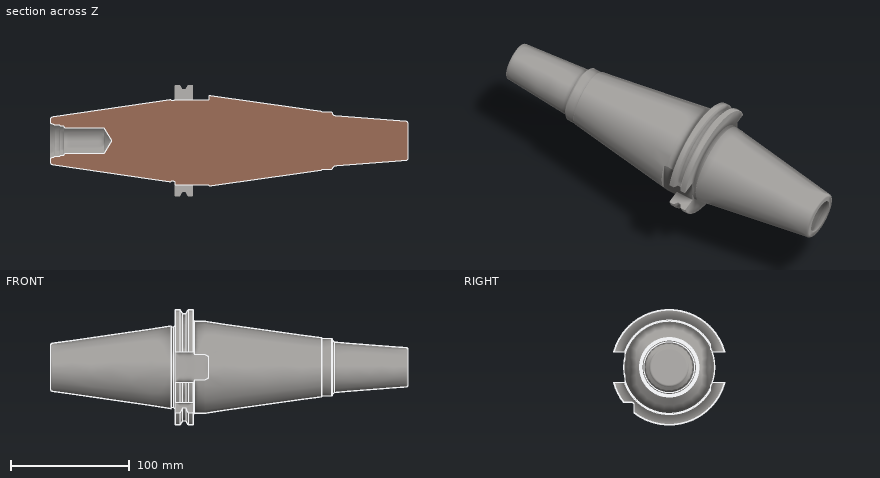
import cadquery as cq
import math

LENGTH = 301.5

GAUGE_X = 101.5
GAUGE_R = 35.0
TAPER_SLOPE = 7 / 48
TAPER_END_ROUND = 2.0
RELIEF_START_X = 102.2
RELIEF_END_X = 103.8
RELIEF_DEPTH = 1.0

FLANGE_START_X = 105.0
FLANGE_END_X = 120.5
FLANGE_R = 97.5 / 2
FLANGE_CHAMFER = 0.45
GROOVE_CENTER_X = 112.8
GROOVE_ROOT_WIDTH = 2.7
GROOVE_DEPTH = 3.3
GROOVE_HALF_ANGLE = 30
GROOVE_EDGE_CHAMFER = 0.5

BODY_R = 39.0
BODY_ROOT_CHAMFER = 1.0
BODY_CONE_X = 130.3
BODY_CONE_END_X = 228.5
BODY_CONE_END_R = 25.0
COLLAR_R = 24.5
COLLAR_START_X = 229.2
COLLAR_END_X = 238.0
COLLAR_CHAMFER = 1.0
NOSE_ROOT_CHAMFER = 1.5
NOSE_START_R = 21.5
NOSE_END_R = 16.5
NOSE_ROUND = 1.8

SLOT_WIDTH = 25.5
SLOT_END_X = 133.3
SLOT_FRONT_OFFSET = 37.5
SLOT_BACK_OFFSET = 34.7

NOTCH_Y = 30.0
NOTCH_Z = 29.5
NOTCH_ROUND = 1.8

BORE_MOUTH_R = 14.5
COUNTERSINK_R = 13.5
COUNTERSINK_DEPTH = 3.0
ENTRY_R = 13.0
ENTRY_END_X = 7.8
PILOT_R = 12.5
PILOT_END_X = 11.2
THREAD_R = 10.5
BORE_STEP = 0.5
BORE_END_X = 45.2
DRILL_POINT_HALF_ANGLE = 59


def groove_points():
    """V-groove outline from the small-X edge to the large-X edge, with chamfered mouth edges."""
    root_half = GROOVE_ROOT_WIDTH / 2
    flank_run = math.tan(math.radians(GROOVE_HALF_ANGLE))
    flank_top_half = root_half + (GROOVE_DEPTH - GROOVE_EDGE_CHAMFER) * flank_run
    half_outline = [
        (flank_top_half + GROOVE_EDGE_CHAMFER, FLANGE_R),
        (flank_top_half, FLANGE_R - GROOVE_EDGE_CHAMFER),
        (root_half, FLANGE_R - GROOVE_DEPTH),
    ]
    left = [(GROOVE_CENTER_X - dx, r) for dx, r in half_outline]
    right = [(GROOVE_CENTER_X + dx, r) for dx, r in reversed(half_outline)]
    return left + right


def revolve_profile(points):
    """Turn a closed (X, radius) outline about the X axis."""
    return cq.Workplane("XY").polyline(points).close().revolve(360, (0, 0, 0), (1, 0, 0))


def turned_body():
    taper_small_r = GAUGE_R - GAUGE_X * TAPER_SLOPE
    relief_r = GAUGE_R - RELIEF_DEPTH
    flange_edge_r = FLANGE_R - FLANGE_CHAMFER
    points = [
        (0, 0),
        (0, taper_small_r),
        (GAUGE_X, GAUGE_R),
        (RELIEF_START_X, relief_r),
        (RELIEF_END_X, relief_r),
        (FLANGE_START_X, GAUGE_R),
        (FLANGE_START_X, flange_edge_r),
        (FLANGE_START_X + FLANGE_CHAMFER, FLANGE_R),
        *groove_points(),
        (FLANGE_END_X - FLANGE_CHAMFER, FLANGE_R),
        (FLANGE_END_X, flange_edge_r),
        (FLANGE_END_X, BODY_R + BODY_ROOT_CHAMFER),
        (FLANGE_END_X + BODY_ROOT_CHAMFER, BODY_R),
        (BODY_CONE_X, BODY_R),
        (BODY_CONE_END_X, BODY_CONE_END_R),
        (COLLAR_START_X, COLLAR_R),
        (COLLAR_END_X - COLLAR_CHAMFER, COLLAR_R),
        (COLLAR_END_X, COLLAR_R - COLLAR_CHAMFER),
        (COLLAR_END_X, NOSE_START_R + NOSE_ROOT_CHAMFER),
        (COLLAR_END_X + NOSE_ROOT_CHAMFER, NOSE_START_R),
        (LENGTH, NOSE_END_R),
        (LENGTH, 0),
    ]
    body = revolve_profile(points)
    body = body.faces("<X").edges().fillet(TAPER_END_ROUND)
    return body.faces(">X").edges().fillet(NOSE_ROUND)


def pull_stud_bore():
    drill_point = THREAD_R / math.tan(math.radians(DRILL_POINT_HALF_ANGLE))
    return revolve_profile([
        (0, 0),
        (0, BORE_MOUTH_R),
        (COUNTERSINK_DEPTH, COUNTERSINK_R),
        (COUNTERSINK_DEPTH + BORE_STEP, ENTRY_R),
        (ENTRY_END_X, ENTRY_R),
        (ENTRY_END_X + BORE_STEP, PILOT_R),
        (PILOT_END_X, PILOT_R),
        (PILOT_END_X + BORE_STEP, THREAD_R),
        (BORE_END_X, THREAD_R),
        (BORE_END_X + drill_point, 0),
    ])


def drive_slot(side, floor_offset):
    """Flange slot running into a flat across the body, on the side = -1 or +1 of Y."""

    def block_above_floor(start_x, end_x, width):
        center_y = side * (floor_offset + FLANGE_R / 2)
        block = cq.Workplane("XY").box(end_x - start_x, FLANGE_R, width)
        return block.translate(((start_x + end_x) / 2, center_y, 0))

    flange_slot = block_above_floor(FLANGE_START_X, SLOT_END_X, SLOT_WIDTH)
    body_flat = block_above_floor(FLANGE_END_X, SLOT_END_X, 2 * BODY_R)
    return flange_slot.union(body_flat)


def orientation_notch():
    """Corner cutter with a rounded inner corner, running through the flange."""
    width = FLANGE_END_X - FLANGE_START_X
    notch = cq.Workplane("XY").box(width, FLANGE_R, FLANGE_R).edges(">Y and >Z").fillet(NOTCH_ROUND)
    center_x = FLANGE_START_X + width / 2
    return notch.translate((center_x, -NOTCH_Y - FLANGE_R / 2, -NOTCH_Z - FLANGE_R / 2))


result = (
    turned_body()
    .cut(pull_stud_bore())
    .cut(drive_slot(-1, SLOT_FRONT_OFFSET))
    .cut(drive_slot(1, SLOT_BACK_OFFSET))
    .cut(orientation_notch())
)